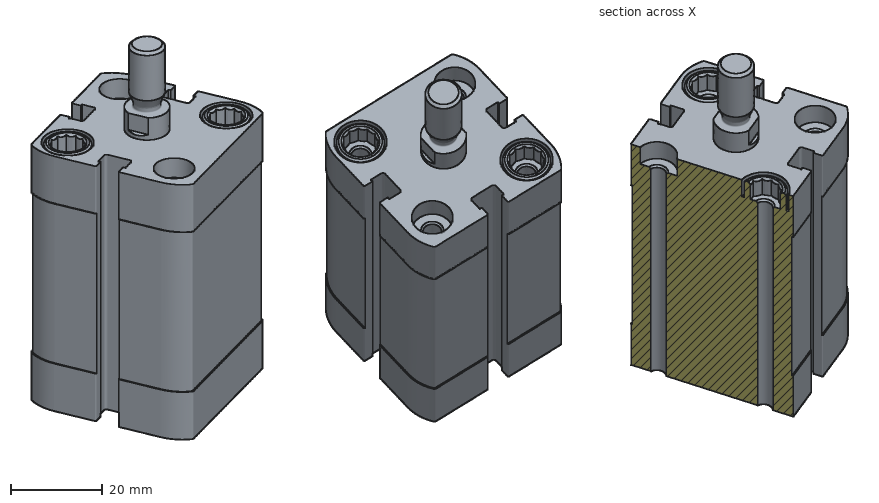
import cadquery as cq
import math

TOTAL_HEIGHT = 85.9
HOUSING_HEIGHT = 64.4
CAP_WIDTH = 39.5
CAP_HEIGHT = 12.0
BARREL_INSET = 0.3

BOLT_OFFSET = 13.0
CORNER_RADIUS = 11.0
CORNER_EDGE_RADIUS = 0.7

SLOT_MOUTH_WIDTH = 5.5
SLOT_WIDTH = 6.6
SLOT_CORNER_RADIUS = 0.6
SLOT_MOUTH_RADIUS = 0.3
SLOT_LIP_DEPTH = 2.3
SLOT_DEPTH = 5.75
SLOT_ANGLES = (0, 180, 270)

BOLT_HOLE_DIAMETER = 4.1
BOLT_HOLE_MOUTH_DIAMETER = 5.0
COUNTERBORE_DIAMETER = 9.0
COUNTERBORE_DEPTH = 4.9

GROOVE_DIAMETER = 11.5
COLLAR_DIAMETER = 10.5
COLLAR_TOP_DIAMETER = 9.5
SOCKET_MOUTH_DIAMETER = 8.4
SOCKET_ROOT_DIAMETER = 7.9
SOCKET_CREST_DIAMETER = 7.5
SOCKET_MOUTH_DEPTH = 0.7
SPLINE_COUNT = 12
SPLINE_PITCH = 360 / SPLINE_COUNT
CREST_HALF_ANGLE = 6.0
FIRST_CREST_ANGLE = 15.0

ROD_DIAMETER = 10.0
ROD_SHOULDER_Z = 70.0
STUD_DIAMETER = 8.0
STUD_CHAMFER = 0.7
STUD_BOTTOM_Z = 73.8
NECK_DIAMETER = 6.1
NECK_TOP_Z = 71.4
NECK_FILLET = 0.4
NECK_BLEND_RADIUS = 0.9
FLAT_DISTANCE = 8.7
FLAT_BOTTOM_Z = 65.8
FLAT_RUNOUT = 0.4


def profile_prism(inset, bottom, height):
    """Rounded square, inset from the cap outline, extruded upward."""
    half = CAP_WIDTH / 2 - inset
    radius = CORNER_RADIUS - inset
    run = half - BOLT_OFFSET
    drop = radius - math.sqrt(radius**2 - run**2)
    half_angle = math.asin(run / radius) / 2
    mid_x = BOLT_OFFSET + radius * math.sin(half_angle)
    mid_y = half - radius * (1 - math.cos(half_angle))
    end_y = half - drop
    outline = (
        cq.Workplane("XY", origin=(0, 0, bottom))
        .moveTo(-BOLT_OFFSET, half)
        .lineTo(BOLT_OFFSET, half)
        .threePointArc((mid_x, mid_y), (half, end_y))
        .lineTo(half, -end_y)
        .threePointArc((mid_x, -mid_y), (BOLT_OFFSET, -half))
        .lineTo(-BOLT_OFFSET, -half)
        .threePointArc((-mid_x, -mid_y), (-half, -end_y))
        .lineTo(-half, end_y)
        .threePointArc((-mid_x, mid_y), (-BOLT_OFFSET, half))
        .close()
    )
    prism = outline.extrude(height)
    return prism.edges("|Z and (<X or >X)").fillet(CORNER_EDGE_RADIUS)


def slot_cutter():
    """Full-height T-slot with a round-cornered floor, entering from the -Y face."""
    face_y = -CAP_WIDTH / 2
    chamber_depth = SLOT_DEPTH - SLOT_LIP_DEPTH
    chamber_y = face_y + SLOT_LIP_DEPTH + chamber_depth / 2
    mouth = cq.Workplane("XY").center(0, face_y + SLOT_LIP_DEPTH / 2)
    mouth = mouth.rect(SLOT_MOUTH_WIDTH, SLOT_LIP_DEPTH).extrude(HOUSING_HEIGHT)
    chamber = cq.Workplane("XY").center(0, chamber_y).rect(SLOT_WIDTH, chamber_depth)
    chamber = chamber.extrude(HOUSING_HEIGHT).edges("|Z and >Y").fillet(SLOT_CORNER_RADIUS)
    return mouth.union(chamber)


def cut_slots(section, mouth_radius=0):
    """Cut every T-slot, turning each slotted face to -Y in turn; optionally round the mouth edges."""
    face_y = -CAP_WIDTH / 2
    mouth_edges = cq.selectors.BoxSelector(
        (-SLOT_WIDTH / 2, face_y - SLOT_LIP_DEPTH / 2, 0),
        (SLOT_WIDTH / 2, face_y + SLOT_LIP_DEPTH / 2, HOUSING_HEIGHT),
    )
    for angle in SLOT_ANGLES:
        section = section.rotate((0, 0, 0), (0, 0, 1), -angle).cut(slot_cutter())
        if mouth_radius > 0:
            section = section.edges("|Z").edges(mouth_edges).fillet(mouth_radius)
        section = section.rotate((0, 0, 0), (0, 0, 1), angle)
    return section


def cone(bottom_diameter, top_diameter, bottom, height):
    """Truncated cone on the Z axis."""
    solid = cq.Solid.makeCone(
        bottom_diameter / 2, top_diameter / 2, height, pnt=cq.Vector(0, 0, bottom)
    )
    return cq.Workplane(obj=solid)


def bolt_hole_cutter():
    """Through hole whose upper mouth is countersunk at the floor of the recess above it."""
    floor = HOUSING_HEIGHT - COUNTERBORE_DEPTH
    mouth_depth = (BOLT_HOLE_MOUTH_DIAMETER - BOLT_HOLE_DIAMETER) / 2
    hole = cq.Workplane("XY").circle(BOLT_HOLE_DIAMETER / 2).extrude(floor)
    return hole.union(cone(BOLT_HOLE_DIAMETER, BOLT_HOLE_MOUTH_DIAMETER, floor - mouth_depth, mouth_depth))


def counterbore_cutter():
    """Plain recess above a bolt hole."""
    floor = HOUSING_HEIGHT - COUNTERBORE_DEPTH
    recess = cq.Workplane("XY", origin=(0, 0, floor)).circle(COUNTERBORE_DIAMETER / 2)
    return recess.extrude(COUNTERBORE_DEPTH).union(bolt_hole_cutter())


def spline_points():
    """Corners of the socket: a flat crest and a V-shaped root per pitch."""
    points = []
    for tooth in range(SPLINE_COUNT):
        crest = FIRST_CREST_ANGLE + tooth * SPLINE_PITCH
        corners = (
            (SOCKET_CREST_DIAMETER / 2, crest - CREST_HALF_ANGLE),
            (SOCKET_CREST_DIAMETER / 2, crest + CREST_HALF_ANGLE),
            (SOCKET_ROOT_DIAMETER / 2, crest + SPLINE_PITCH / 2),
        )
        for radius, angle in corners:
            turn = math.radians(angle)
            points.append((radius * math.cos(turn), radius * math.sin(turn)))
    return points


def splined_socket_cutter():
    """Ring groove, chamfered collar edge and splined socket above a bolt hole."""
    floor = HOUSING_HEIGHT - COUNTERBORE_DEPTH
    edge_chamfer = (COLLAR_DIAMETER - COLLAR_TOP_DIAMETER) / 2
    base = cq.Workplane("XY", origin=(0, 0, floor))
    collar = base.circle(COLLAR_DIAMETER / 2).extrude(COUNTERBORE_DEPTH)
    collar = collar.faces(">Z").chamfer(edge_chamfer)
    groove = base.circle(GROOVE_DIAMETER / 2).extrude(COUNTERBORE_DEPTH).cut(collar)
    socket = base.polyline(spline_points()).close().extrude(COUNTERBORE_DEPTH)
    mouth = cone(
        SOCKET_CREST_DIAMETER,
        SOCKET_MOUTH_DIAMETER,
        HOUSING_HEIGHT - SOCKET_MOUTH_DEPTH,
        SOCKET_MOUTH_DEPTH,
    )
    return groove.union(socket.union(mouth)).union(bolt_hole_cutter())


def make_housing():
    """Barrel between two end caps, with T-slots, bolt holes and splined sockets."""
    upper_cap_bottom = HOUSING_HEIGHT - CAP_HEIGHT
    body = cut_slots(profile_prism(BARREL_INSET, CAP_HEIGHT, upper_cap_bottom - CAP_HEIGHT))
    for cap_bottom in (0, upper_cap_bottom):
        body = body.union(cut_slots(profile_prism(0, cap_bottom, CAP_HEIGHT), SLOT_MOUTH_RADIUS))
    for side in (-1, 1):
        body = body.cut(counterbore_cutter().translate((side * BOLT_OFFSET, -side * BOLT_OFFSET, 0)))
        body = body.cut(splined_socket_cutter().translate((side * BOLT_OFFSET, side * BOLT_OFFSET, 0)))
    return body


def wrench_flat_cutter():
    """Removes the rod beyond the flat on its -Y side; the lower end slopes down and outward."""
    flat_y = -FLAT_DISTANCE / 2
    outer_y = -ROD_DIAMETER / 2
    profile = (
        cq.Workplane("YZ", origin=(-ROD_DIAMETER / 2, 0, 0))
        .moveTo(flat_y, FLAT_BOTTOM_Z)
        .lineTo(flat_y, ROD_SHOULDER_Z)
        .lineTo(outer_y, ROD_SHOULDER_Z)
        .lineTo(outer_y, FLAT_BOTTOM_Z - FLAT_RUNOUT)
        .close()
    )
    return profile.extrude(ROD_DIAMETER)


def make_rod():
    """Rod standing on the housing, with wrench flats, a necked undercut and a stud end."""
    rod_radius = ROD_DIAMETER / 2
    stud_radius = STUD_DIAMETER / 2
    neck_radius = NECK_DIAMETER / 2
    fillet_mid = NECK_FILLET * (1 - math.sqrt(0.5))
    half_profile = (
        cq.Workplane("XZ")
        .moveTo(0, HOUSING_HEIGHT)
        .lineTo(rod_radius, HOUSING_HEIGHT)
        .lineTo(rod_radius, ROD_SHOULDER_Z)
        .lineTo(neck_radius + NECK_FILLET, ROD_SHOULDER_Z)
        .threePointArc(
            (neck_radius + fillet_mid, ROD_SHOULDER_Z + fillet_mid),
            (neck_radius, ROD_SHOULDER_Z + NECK_FILLET),
        )
        .lineTo(neck_radius, NECK_TOP_Z)
        .lineTo(stud_radius, STUD_BOTTOM_Z)
        .lineTo(stud_radius, TOTAL_HEIGHT - STUD_CHAMFER)
        .lineTo(stud_radius - STUD_CHAMFER, TOTAL_HEIGHT)
        .lineTo(0, TOTAL_HEIGHT)
        .close()
    )
    body = half_profile.revolve(360, (0, 0, 0), (0, 1, 0))
    neck_end = cq.selectors.BoxSelector(
        (-stud_radius, -stud_radius, NECK_TOP_Z - NECK_FILLET / 2),
        (stud_radius, stud_radius, NECK_TOP_Z + NECK_FILLET / 2),
    )
    body = body.edges(neck_end).fillet(NECK_BLEND_RADIUS)
    for angle in (0, 180):
        body = body.cut(wrench_flat_cutter().rotate((0, 0, 0), (0, 0, 1), angle))
    return body


housing = make_housing()
rod = make_rod()

result = cq.Compound.makeCompound([housing.val(), rod.val()])